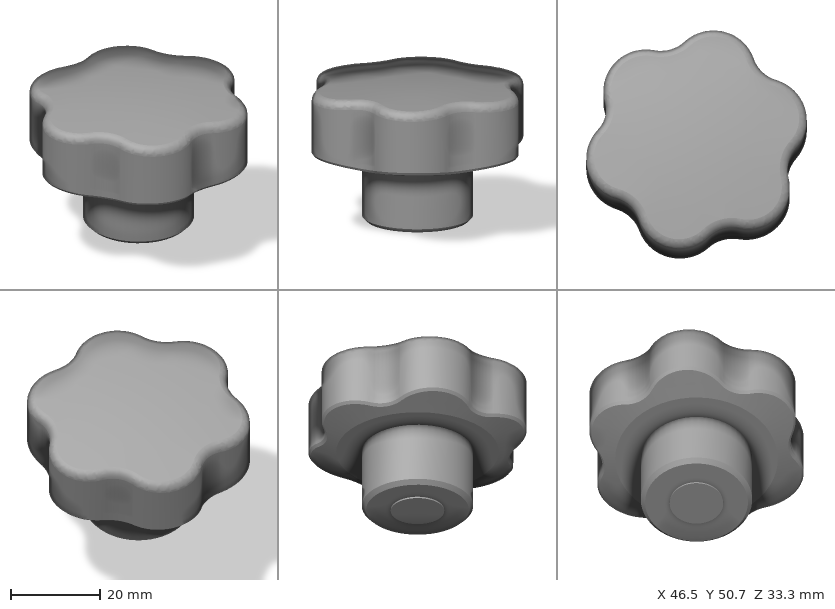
import cadquery as cq
import math

total_height = 33.35
tip_radius = 25.35

lobe_count = 6
lobe_radius = 9.5
lobe_centre = tip_radius - lobe_radius
half_pitch = math.pi / lobe_count
valley_radius = 7.6
tight_valley_radius = 6.6

shoulder_height = 15.2
shoulder_diameter = 36.5
underside_angle = 16.5
crown_radius = 167.25
top_fillet = 2.0
underside_chamfer = 0.5

stem_diameter = 25.0
stem_chamfer = 0.95
insert_diameter = 12.0
insert_projection = 0.35


def polar(radius, angle):
    """Point at a distance from the axis and an angle in radians."""
    return (radius * math.cos(angle), radius * math.sin(angle))


def valley_shape(radius):
    """Floor distance from the axis, then radius and angle (from mid-valley) of the tangent points."""
    half_gap = lobe_centre * math.sin(half_pitch)
    centre_spacing = lobe_radius + radius
    reach = math.sqrt(centre_spacing**2 - half_gap**2)
    arc_centre = lobe_centre * math.cos(half_pitch) + reach

    along = arc_centre - radius * reach / centre_spacing
    across = radius * half_gap / centre_spacing
    return arc_centre - radius, math.hypot(along, across), math.atan2(across, along)


def lobed_prism():
    """Full-height prism whose outline is lobes joined by tangent concave arcs."""
    valley_radii = [valley_radius] * (lobe_count - 1) + [tight_valley_radius]
    _, start_radius, start_angle = valley_shape(tight_valley_radius)
    outline = cq.Workplane("XY").moveTo(*polar(start_radius, start_angle))
    for index, radius in enumerate(valley_radii):
        lobe = half_pitch * (2 * index + 1)
        valley = lobe + half_pitch
        floor, tangent_radius, tangent_angle = valley_shape(radius)
        outline = outline.threePointArc(
            polar(tip_radius, lobe), polar(tangent_radius, valley - tangent_angle)
        )
        outline = outline.threePointArc(
            polar(floor, valley), polar(tangent_radius, valley + tangent_angle)
        )
    return outline.close().extrude(total_height)


def underside_cone():
    """Cone widening upwards from the shoulder circle, clear of the lobes above their lower edge."""
    shoulder_radius = shoulder_diameter / 2
    height = total_height - shoulder_height
    top_radius = shoulder_radius + height / math.tan(math.radians(underside_angle))
    cone = cq.Solid.makeCone(shoulder_radius, top_radius, height, pnt=cq.Vector(0, 0, shoulder_height))
    return cq.Workplane(obj=cone)


def crown_sphere():
    """Sphere touching the top plane on the axis, with its poles on X to keep the crown seamless."""
    sphere = cq.Workplane("XY").sphere(crown_radius, direct=(1, 0, 0))
    return sphere.translate((0, 0, total_height - crown_radius))


def grip():
    body = lobed_prism().intersect(underside_cone()).intersect(crown_sphere())
    body = body.faces("%SPHERE").edges().fillet(top_fillet)
    lobed_edge = body.faces("%CONE").edges("not (%CIRCLE or %LINE)")
    return lobed_edge.chamfer(underside_chamfer)


def stem():
    return (
        cq.Workplane("XY")
        .workplane(offset=insert_projection)
        .circle(stem_diameter / 2)
        .extrude(shoulder_height - insert_projection)
        .faces("<Z")
        .chamfer(stem_chamfer)
    )


def insert():
    return cq.Workplane("XY").circle(insert_diameter / 2).extrude(shoulder_height)


result = grip().union(stem()).union(insert())